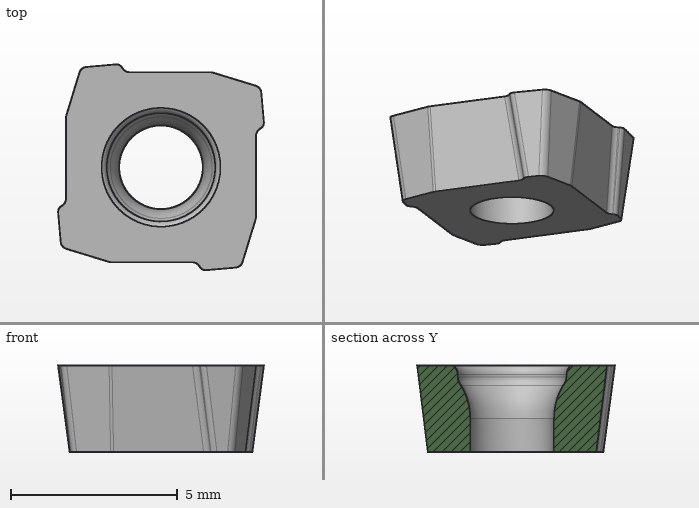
import cadquery as cq
import math

OVERALL_WIDTH = 6.17
THICKNESS = 2.6
SIDE_COUNT = 4
CLEARANCE_ANGLE = 7.0

FLAT_DISTANCE = 2.848
STEP_POSITION = 1.07
STEP_ANGLE = 56.0
STEP_SETBACK = 0.335
ROOT_RADIUS = 0.25
TIP_RADIUS = 0.2
WIPER_ANGLE = 5.0
CORNER_RADIUS = 0.25
BEVEL_ANGLE = 17.0
BEVEL_END = 1.52
BLEND_RADIUS = 0.3

HOLE_DIAMETER = 2.5
RIM_DIAMETER = 3.56
NECK_DIAMETER = 3.25
RIM_DEPTH = 0.27
NECK_DEPTH = 0.335
SEAT_DIAMETER = 3.05
SEAT_TOP_DEPTH = 0.6
SEAT_BOTTOM_DEPTH = 1.577


def outward(angle):
    """Unit vector turned by angle (degrees) from -Y toward +X."""
    turn = math.radians(angle)
    return cq.Vector(math.sin(turn), -math.cos(turn))


def crossing(line_a, line_b):
    """Meeting point of two lines, each an (outward angle, distance from the axis) pair."""
    normal_a = outward(line_a[0])
    normal_b = outward(line_b[0])
    determinant = normal_a.x * normal_b.y - normal_a.y * normal_b.x
    x = (line_a[1] * normal_b.y - line_b[1] * normal_a.y) / determinant
    y = (line_b[1] * normal_a.x - line_a[1] * normal_b.x) / determinant
    return cq.Vector(x, y)


def rounded_corner(line_a, line_b, radius):
    """Start, middle and end of the arc that rounds the corner from line_a to line_b."""
    side = 1 if line_b[0] > line_a[0] else -1
    reach = side * radius
    center = crossing((line_a[0], line_a[1] - reach), (line_b[0], line_b[1] - reach))
    angles = (line_a[0], (line_a[0] + line_b[0]) / 2, line_b[0])
    return [center + outward(angle) * reach for angle in angles]


def wiper_distance(step):
    """Distance of the wiper line that puts the rounded step tip at half the overall width."""
    normal = outward(step[0])
    tip_y = TIP_RADIUS - OVERALL_WIDTH / 2
    tip_x = (step[1] - TIP_RADIUS - normal.y * tip_y) / normal.x
    return outward(WIPER_ANGLE).dot(cq.Vector(tip_x, tip_y)) + TIP_RADIUS


def side_arcs(depth):
    """Corner arcs of the front side at a depth below the top face."""
    inset = depth * math.tan(math.radians(CLEARANCE_ANGLE))
    setback = STEP_SETBACK * depth / THICKNESS
    bevel_outward = 90 - BEVEL_ANGLE

    step_root = cq.Vector(STEP_POSITION, -FLAT_DISTANCE)
    step_normal = outward(-STEP_ANGLE)
    top_step = (-STEP_ANGLE, step_normal.dot(step_root))
    bevel_end = cq.Vector(FLAT_DISTANCE, -BEVEL_END)

    flat = (0, FLAT_DISTANCE - inset)
    step = (-STEP_ANGLE, step_normal.dot(step_root + cq.Vector(setback, inset)))
    wiper = (WIPER_ANGLE, wiper_distance(top_step) - inset)
    bevel = (bevel_outward, outward(bevel_outward).dot(bevel_end) - inset)
    next_flat = (90, flat[1])
    return [
        rounded_corner(flat, step, ROOT_RADIUS),
        rounded_corner(step, wiper, TIP_RADIUS),
        rounded_corner(wiper, bevel, CORNER_RADIUS),
        rounded_corner(bevel, next_flat, BLEND_RADIUS),
    ]


def outline(depth):
    """Closed outline of the insert at a depth below the top face."""
    level = cq.Vector(0, 0, -depth)
    arcs = []
    for side in range(SIDE_COUNT):
        turn = cq.Plane.XY().rotated((0, 0, side * 360 / SIDE_COUNT))
        for arc in side_arcs(depth):
            arcs.append([turn.toWorldCoords(point) + level for point in arc])
    edges = []
    for arc, next_arc in zip(arcs, arcs[1:] + arcs[:1]):
        edges.append(cq.Edge.makeThreePointArc(*arc))
        edges.append(cq.Edge.makeLine(arc[-1], next_arc[0]))
    return cq.Wire.assembleEdges(edges)


def tapered_body():
    return cq.Workplane(cq.Solid.makeLoft([outline(0), outline(THICKNESS)], True))


def arc_middle(upright_end, other_end):
    """Middle of the arc that leaves upright_end vertically, bulges to the axis and ends at other_end."""
    run = other_end[0] - upright_end[0]
    rise = other_end[1] - upright_end[1]
    radius = (run**2 + rise**2) / (2 * run)
    half_sweep = math.atan2(run, rise)
    x = upright_end[0] + radius * (1 - math.cos(half_sweep))
    return (x, upright_end[1] + radius * math.sin(half_sweep))


def screw_hole():
    """Revolved cutter: rounded rim, short neck, hollow and rounded seat above a plain hole."""
    hole = HOLE_DIAMETER / 2
    neck = NECK_DIAMETER / 2
    rim_start = (RIM_DIAMETER / 2, 0)
    rim_end = (neck, -RIM_DEPTH)
    seat_start = (SEAT_DIAMETER / 2, -SEAT_TOP_DEPTH)
    seat_end = (hole, -SEAT_BOTTOM_DEPTH)
    return (
        cq.Workplane("XZ")
        .lineTo(*rim_start)
        .threePointArc(arc_middle(rim_end, rim_start), rim_end)
        .lineTo(neck, -NECK_DEPTH)
        .tangentArcPoint(seat_start, relative=False)
        .threePointArc(arc_middle(seat_end, seat_start), seat_end)
        .lineTo(hole, -THICKNESS)
        .lineTo(0, -THICKNESS)
        .close()
        .revolve(360, (0, 0), (0, 1))
    )


result = tapered_body().cut(screw_hole())